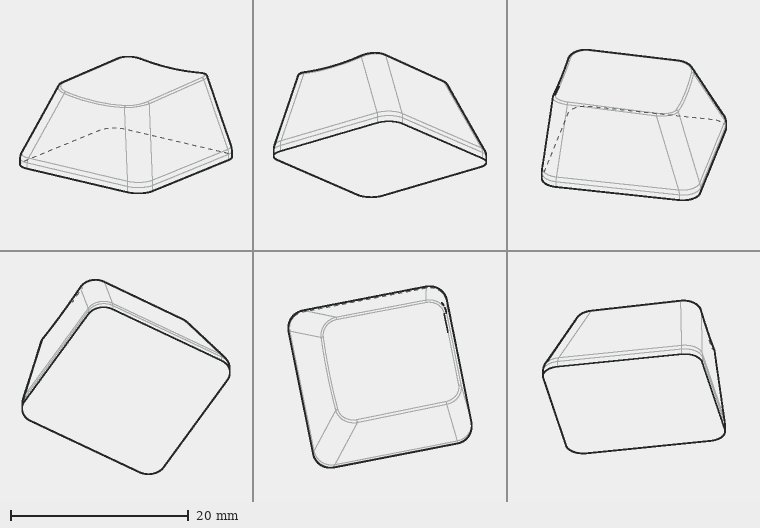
import cadquery as cq
import math

base_size = 18.16
corner_radius = 2.0
skirt_height = 0.73

bend_height = 0.56
bend_steps = 3

side_slope = 0.37
back_slope = 0.082
front_slope = 0.41
blank_height = 10.9

dish_radius = 32.15
dish_back_height = 8.83
dish_back_y = 8.35
dish_length = 2 * base_size
dish_tilt = 1.1
rim_radius = 0.27


def outline(height, lean_height):
    """Rounded outline after leaning inwards over lean_height of full slope."""
    width = base_size - 2 * side_slope * lean_height
    depth = base_size - (back_slope + front_slope) * lean_height
    center_y = (front_slope - back_slope) * lean_height / 2
    return (
        cq.Sketch()
        .rect(width, depth)
        .vertices()
        .fillet(corner_radius)
        .moved(cq.Location(cq.Vector(0, center_y, height)))
    )


def make_skirt():
    return cq.Workplane("XY").placeSketch(outline(0, 0)).extrude(skirt_height)


def make_bend():
    """Parabolic blend, upright at the skirt and at full slope at its top."""
    sections = []
    for step in range(bend_steps + 1):
        rise = bend_height * step / bend_steps
        sections.append(outline(skirt_height + rise, rise**2 / (2 * bend_height)))
    return cq.Workplane("XY").placeSketch(*sections).loft()


def make_leaning_walls():
    bend_top = skirt_height + bend_height
    bottom = outline(bend_top, bend_height / 2)
    top = outline(blank_height, blank_height - bend_top + bend_height / 2)
    return cq.Workplane("XY").placeSketch(bottom, top).loft(ruled=True)


def make_dish_cutter():
    tilt = math.radians(dish_tilt)
    direction = cq.Vector(0, math.cos(tilt), math.sin(tilt))
    upward = cq.Vector(0, -math.sin(tilt), math.cos(tilt))
    lowest_line_point = cq.Vector(0, dish_back_y, dish_back_height)
    start = lowest_line_point + upward * dish_radius - direction * 0.75 * dish_length
    return cq.Workplane(
        cq.Solid.makeCylinder(dish_radius, dish_length, start, direction)
    )


blank = make_skirt().union(make_bend()).union(make_leaning_walls())
body = blank.cut(make_dish_cutter())

dish_center = (0, 0, dish_back_height)
dish_face = body.faces(cq.selectors.NearestToPointSelector(dish_center))
result = dish_face.edges().fillet(rim_radius)